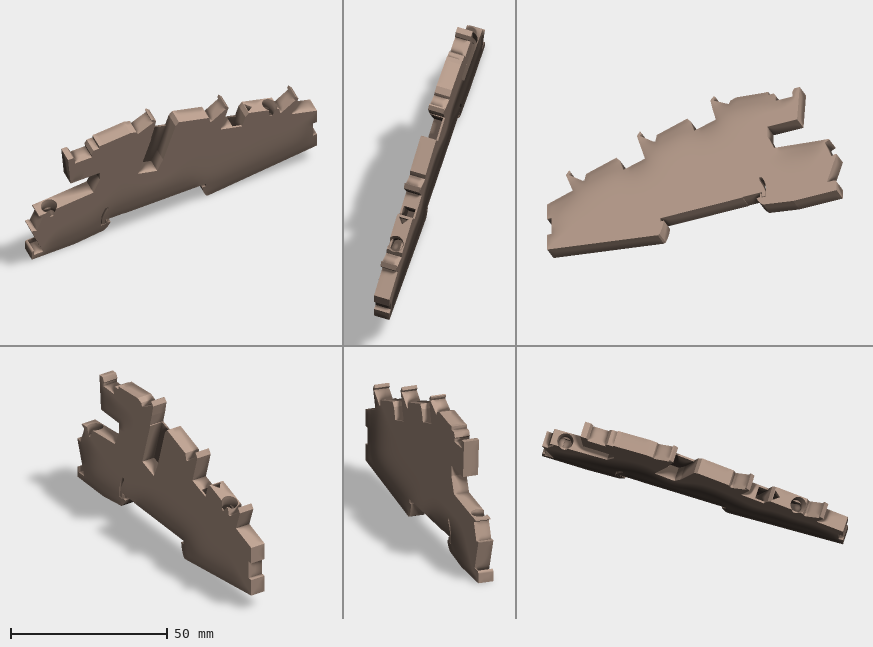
import cadquery as cq
import math

thickness = 5.1
length = 100.9
height = 48.8

step_y = 24.7
step_z = -8.4
upper_notch = (63.4, 36.9)

deck_rear = (-0.7, 2.3)
deck_front = (-11.3, 5.8)
deck_nose = (-12.5, 4.3)
valley_front = (-13.7, 0.3)
notch_front = (-0.2, 0)
notch_rear = (0.4, 0)
hook_throat = (5.2, 3.6)
hook_crook = (4.6, 4.4)
hook_tip = (5.1, 5.4)
hook_bend = (6.3, 3.8)

hook_feet = [(42.1, 39.6), (66.8, 31.2), (92.0, 25.7)]

deck_tilt = math.degrees(math.atan2(deck_front[1] - deck_rear[1], deck_rear[0] - deck_front[0]))
face_tilt = math.degrees(math.atan2(deck_nose[0] - valley_front[0], deck_nose[1] - valley_front[1]))

base_z = 0.2
toe_z = 4.2
toe_radius = 0.8
toe_ledge_y = 3.3
front_lip = (0.0, 14.1)
toe_groove_depth = 2.0
toe_groove_wall = 0.3
claw_z = 5.1
rail_z = 6.7
rear_base_z = 5.1
rear_top_z = 22.8
rail_rear_y = 61.5

funnel_offset_x = 0.4
funnel_top_radius = 2.6
funnel_bottom_radius = 2.1
funnel_depth = 3.3
mouth_clearance = 1.0
clamp_width = 3.0

lower_clamp_floor = [(funnel_bottom_radius, 4.3), (-0.5, 4.5), (-0.5, 4.1), (-funnel_bottom_radius, 3.6)]
rear_clamp_floor = [(funnel_bottom_radius, 4.5), (-funnel_bottom_radius, 10.6)]
lower_funnel_center = (7.1, 21.4)
rear_funnel_from_notch = (-2.8, 3.0)

slot_wall = 0.6
slot_depth = 11.1
slot_clearance = 0.3
slot_ramp_length = 5.0
slot_ramp_angle = 8.0
rear_slot_length = 3.2
front_slot_length = 7.7

probe_width = 3.3
probe_length = 2.1
probe_depth = 6.6
probe_ridge_wall = 0.2
probe_offset_x = 0.2


def notch(index):
    """Notch between deck and hook: index 0 is the upper deck, 1 the rear one."""
    return (upper_notch[0] + index * step_y, upper_notch[1] + index * step_z)


def from_notch(index, offset):
    """Point at an offset from one of the notches."""
    origin = notch(index)
    return (origin[0] + offset[0], origin[1] + offset[1])


def deck_and_hook(index):
    """Corners from the valley ahead of a deck to the bend of the hook behind it."""
    offsets = [valley_front, deck_nose, deck_front, deck_rear, notch_front, notch_rear]
    offsets += [hook_throat, hook_crook, hook_tip, hook_bend]
    return [from_notch(index, offset) for offset in offsets]


def profile():
    """Closed side outline, from the toe up over the decks, down the rear and back along the base."""
    front_face = [(0.7, 14.4), (1.7, 13.9), (4.0, 19.8), (3.4, 20.2), (2.5, 20.6), (2.6, 21.0)]
    lower_deck = [(6.6, 21.3), (21.8, 22.8), (24.1, 28.3), (24.1, 31.7)]
    marker_arm = [(13.7, 31.7), (12.8, 44.1), (14.7, 44.1), (15.5, 42.5), (15.2, 42.1), (15.2, 41.1)]
    marker_seat = [(21.3, 41.1), (21.3, 42.1), (21.0, 42.5), (21.8, 44.1), (23.8, 44.1), (23.8, 45.3)]
    top_deck = [(25.3, 45.3), (34.9, 46.2), (37.0, 45.5), (37.5, 44.3)]
    top_hook = [(43.0, 47.2), (42.5, 48.0), (42.4, 48.6), (42.9, height), (44.0, 47.5), (43.2, 43.7)]
    rear_groove = [(length, 17.1), (99.4, 17.1), (99.4, 10.9), (length, 10.9)]

    upper = front_face + lower_deck + marker_arm + marker_seat + top_deck + top_hook
    upper += [hook_feet[0]] + deck_and_hook(0)
    upper += [hook_feet[1]] + deck_and_hook(1)
    upper += [hook_feet[2], (length, rear_top_z)] + rear_groove + [(length, rear_base_z)]

    outline = cq.Workplane("YZ").moveTo(0, base_z).lineTo(0, toe_z - toe_radius)
    outline = outline.radiusArc((toe_radius, toe_z), toe_radius)
    outline = outline.lineTo(toe_ledge_y, toe_z).lineTo(*front_lip).lineTo(0, 14.4)
    for corner in upper:
        outline = outline.lineTo(*corner)

    outline = outline.lineTo(62.4, 0).lineTo(61.8, 0.3)
    outline = outline.threePointArc((60.7, 2.6), (60.2, claw_z))
    outline = outline.lineTo(rail_rear_y, claw_z).lineTo(rail_rear_y, 6.4).lineTo(32.8, 6.5)

    outline = outline.lineTo(32.8, rail_z).lineTo(26.0, rail_z).lineTo(26.0, 4.8).lineTo(24.8, 4.8)
    outline = outline.lineTo(24.8, 6.8).threePointArc((25.8, 9.5), (27.0, 11.9))
    outline = outline.lineTo(27.0, 12.6).lineTo(26.1, 12.6)
    outline = outline.threePointArc((24.8, 9.7), (24.5, 7.2)).lineTo(24.5, 4.6)

    outline = outline.lineTo(26.2, 4.6).lineTo(26.2, 6.3).lineTo(26.7, 6.3).lineTo(26.7, 4.9)
    outline = outline.lineTo(27.8, 4.8).threePointArc((27.0, 3.2), (25.5, 1.7)).lineTo(15.1, base_z)
    return outline.close()


def tilted_plane(point, tilt, offset_x):
    """Plane on a deck that rises toward -Y by the tilt; its normal leaves the part."""
    angle = math.radians(tilt)
    origin = (thickness / 2 + offset_x, point[0], point[1])
    return cq.Plane(origin=origin, xDir=(1, 0, 0), normal=(0, math.sin(angle), math.cos(angle)))


def funnel(point, tilt, clamp_floor):
    """Tapered conductor entry above a flat-sided clamp pocket with a shaped floor."""
    plane = tilted_plane(point, tilt, funnel_offset_x)
    mouth = cq.Workplane(plane).circle(funnel_top_radius)
    mouth = mouth.workplane(offset=-funnel_depth).circle(funnel_bottom_radius).loft()
    clearance = cq.Workplane(plane).circle(funnel_top_radius).extrude(mouth_clearance)

    deepest = max(depth for _, depth in clamp_floor)
    bore = cq.Workplane(plane).circle(funnel_bottom_radius).extrude(-deepest)
    side_plane = cq.Plane(origin=plane.origin.toTuple(), xDir=plane.yDir.toTuple(), normal=(1, 0, 0))
    side = [(funnel_bottom_radius, 0)] + [(along, -depth) for along, depth in clamp_floor]
    side += [(-funnel_bottom_radius, 0)]
    clamp = cq.Workplane(side_plane).polyline(side).close().extrude(clamp_width / 2, both=True)
    return mouth.union(clearance).union(bore.intersect(clamp))


def valley_slot(index, slot_length, x_start, x_end):
    """Deep slot in a valley floor; its rear wall carries on the face of the deck above, then ramps."""
    plane = cq.Plane(origin=(x_start, *from_notch(index, valley_front)), xDir=(0, 1, 0), normal=(1, 0, 0))
    plane = plane.rotated((0, 0, -face_tilt))
    ramp_angle = math.radians(slot_ramp_angle)
    ramp_run = slot_ramp_length * math.sin(ramp_angle)
    bottom = -slot_depth - slot_ramp_length * math.cos(ramp_angle)
    sides = [(0, 0), (0, -slot_depth), (-ramp_run, bottom)]
    sides += [(-slot_length, bottom), (-slot_length, slot_clearance)]
    return cq.Workplane(plane).polyline(sides).close().extrude(x_end - x_start)


def probe_hole():
    """Triangular hole, square to the rear deck, with its point toward the rear."""
    plane = tilted_plane(from_notch(1, deck_front), deck_tilt, probe_offset_x)
    half = probe_width / 2
    triangle = [(-half, 0), (half, 0), (0, probe_length)]
    hole = cq.Workplane(plane).center(0, probe_ridge_wall).polyline(triangle).close()
    return hole.extrude(-probe_depth)


def toe_groove():
    """Groove behind the rounded toe bar, open through the +X face, undercutting the sloped front."""
    floor_z = toe_z - toe_groove_depth
    rise = front_lip[1] - toe_z
    undercut = toe_groove_depth * toe_ledge_y / rise
    section = [(toe_radius, toe_z), (toe_radius, floor_z), (toe_ledge_y + undercut, floor_z)]
    section += [(toe_ledge_y, toe_z)]
    groove = cq.Workplane("YZ", origin=(toe_groove_wall, 0, 0)).polyline(section).close()
    return groove.extrude(thickness)


result = profile().extrude(thickness)
result = result.cut(funnel(lower_funnel_center, 0, lower_clamp_floor))
result = result.cut(funnel(from_notch(1, rear_funnel_from_notch), deck_tilt, rear_clamp_floor))
result = result.cut(valley_slot(1, rear_slot_length, slot_wall, thickness - slot_wall))
result = result.cut(valley_slot(0, front_slot_length, slot_wall, thickness))
result = result.cut(probe_hole())
result = result.cut(toe_groove())